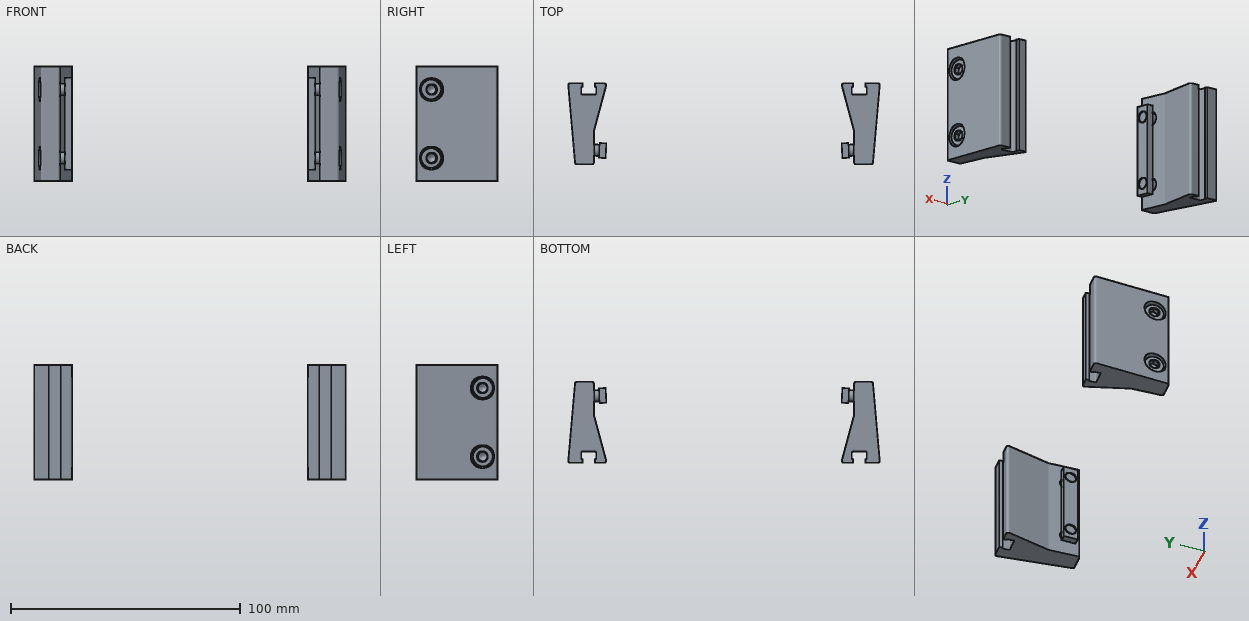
import cadquery as cq
import math


TOTAL_LENGTH = 135.8
JAW_DEPTH = 35.5
JAW_HEIGHT = 50.0
BACK_Y = JAW_DEPTH / 2
FRONT_Y = -JAW_DEPTH / 2

JAW_WIDTH = 16.6
OUTER_SLOPE = 5.0
INNER_SLOPE = 15.0
LOWER_FACE_X = -56.6
CORNER_RADIUS = 1.0
OUTER_X = -TOTAL_LENGTH / 2
INNER_X = OUTER_X + JAW_WIDTH

SLOT_CENTRE_X = -59.0
SLOT_MOUTH_WIDTH = 5.5
SLOT_MOUTH_DEPTH = 1.6
SLOT_CAVITY_WIDTH = 6.5
SLOT_DEPTH = 4.9
SLOT_CORNER_RADIUS = 0.4

BAR_THICKNESS = 3.0
BAR_WIDTH = 6.5
BAR_LENGTH = 40.0
BAR_DISTANCE = 12.6

SCREW_SPACING = 29.9
SCREW_Y = -11.0
SCREW_TILT = -3.0
SHANK_DIAMETER = 5.0
HEAD_DIAMETER = 8.5
HEAD_LENGTH = 5.0
HEAD_ROUNDING = 0.5
HEAD_RECESS = 1.0
TIP_RECESS = 0.5
COUNTERBORE_DIAMETER = 10.0
CLEARANCE_DIAMETER = 6.0
SOCKET_WIDTH = 4.1
SOCKET_DEPTH = 2.5
SOCKET_CONE_SLOPE = 30.0
SOCKET_RIM_DIAMETER = 4.8
SOCKET_RIM_DEPTH = 0.3
HEAD_SEAT = HEAD_RECESS + HEAD_LENGTH
SCREW_HEIGHTS = [-SCREW_SPACING / 2, SCREW_SPACING / 2]


def corner_overshoot(slope):
    """How far a sharp back corner lies beyond the extreme of its rounding, in X."""
    return CORNER_RADIUS * (math.tan(math.radians(45 + slope / 2)) - 1)


OUTER_CORNER_X = OUTER_X - corner_overshoot(OUTER_SLOPE)
INNER_CORNER_X = INNER_X + corner_overshoot(INNER_SLOPE)


def outer_face_x(y):
    return OUTER_CORNER_X + (BACK_Y - y) * math.tan(math.radians(OUTER_SLOPE))


SCREW_X = outer_face_x(SCREW_Y)
SCREW_TIP = BAR_DISTANCE + BAR_THICKNESS / 2 - TIP_RECESS
BORE_END = JAW_WIDTH


def onto_screw_axis(body, z):
    """Move a body built along +X from the origin onto the screw axis at height z."""
    tilted = body.rotate((0, 0, 0), (0, 0, 1), SCREW_TILT)
    return tilted.translate((SCREW_X, SCREW_Y, z))


def rod(diameter, start, end):
    return cq.Workplane("YZ").workplane(offset=start).circle(diameter / 2).extrude(end - start)


def cone(start_diameter, end_diameter, start, length):
    along_x = cq.Vector(1, 0, 0)
    return cq.Workplane(
        cq.Solid.makeCone(start_diameter / 2, end_diameter / 2, length, cq.Vector(start, 0, 0), along_x)
    )


def make_t_slot():
    cavity_depth = SLOT_DEPTH - SLOT_MOUTH_DEPTH
    cavity_y = BACK_Y - SLOT_DEPTH + cavity_depth / 2
    cavity = cq.Workplane("XY").box(SLOT_CAVITY_WIDTH, cavity_depth, JAW_HEIGHT)
    cavity = cavity.edges("|Z").fillet(SLOT_CORNER_RADIUS).translate((SLOT_CENTRE_X, cavity_y, 0))
    mouth = cq.Workplane("XY").box(SLOT_MOUTH_WIDTH, 2 * SLOT_DEPTH, JAW_HEIGHT)
    return cavity.union(mouth.translate((SLOT_CENTRE_X, BACK_Y, 0)))


def make_screw_hole(z):
    counterbore = rod(COUNTERBORE_DIAMETER, -HEAD_LENGTH, HEAD_SEAT)
    clearance = rod(CLEARANCE_DIAMETER, 0, BORE_END)
    return onto_screw_axis(counterbore.union(clearance), z)


def make_jaw():
    inner_rise = (INNER_CORNER_X - LOWER_FACE_X) / math.tan(math.radians(INNER_SLOPE))
    outline = [
        (OUTER_CORNER_X, BACK_Y),
        (outer_face_x(FRONT_Y), FRONT_Y),
        (LOWER_FACE_X, FRONT_Y),
        (LOWER_FACE_X, BACK_Y - inner_rise),
        (INNER_CORNER_X, BACK_Y),
    ]
    blank = cq.Workplane("XY").polyline(outline).close().extrude(JAW_HEIGHT / 2, both=True)
    jaw = blank.edges("|Z and (<Y or >Y)").fillet(CORNER_RADIUS)
    jaw = jaw.cut(make_t_slot())
    for z in SCREW_HEIGHTS:
        jaw = jaw.cut(make_screw_hole(z))
    return jaw


def make_nut_bar():
    """Bar square to the screws and centred on them."""
    blank = cq.Workplane("XY").box(BAR_THICKNESS, BAR_WIDTH, BAR_LENGTH).translate((BAR_DISTANCE, 0, 0))
    bar = onto_screw_axis(blank, 0)
    for z in SCREW_HEIGHTS:
        bar = bar.cut(onto_screw_axis(rod(SHANK_DIAMETER, 0, BORE_END), z))
    return bar


def make_socket():
    """Hexagonal socket with a conical floor and a countersunk rim."""
    across_corners = SOCKET_WIDTH / math.cos(math.radians(30))
    hexagon = cq.Workplane("YZ").workplane(offset=HEAD_RECESS).polygon(6, across_corners)
    hexagon = hexagon.extrude(SOCKET_DEPTH).rotate((0, 0, 0), (1, 0, 0), 30)
    cone_length = SOCKET_WIDTH / 2 * math.tan(math.radians(SOCKET_CONE_SLOPE))
    floor = cone(SOCKET_WIDTH, 0, HEAD_RECESS + SOCKET_DEPTH, cone_length)
    rim = cone(SOCKET_RIM_DIAMETER, SOCKET_WIDTH, HEAD_RECESS, SOCKET_RIM_DEPTH)
    return hexagon.union(floor).union(rim)


def make_screw(z):
    head = rod(HEAD_DIAMETER, HEAD_RECESS, HEAD_SEAT).faces("<X").edges().fillet(HEAD_ROUNDING)
    shank = rod(SHANK_DIAMETER, HEAD_SEAT, SCREW_TIP)
    return onto_screw_axis(head.union(shank).cut(make_socket()), z)


left_jaw = make_jaw()
left_nut_bar = make_nut_bar()
left_screws = [make_screw(z) for z in SCREW_HEIGHTS]

left_bodies = [left_jaw.val(), left_nut_bar.val(), *[screw.val() for screw in left_screws]]
right_bodies = [body.mirror("YZ") for body in left_bodies]

result = cq.Compound.makeCompound([*left_bodies, *right_bodies])